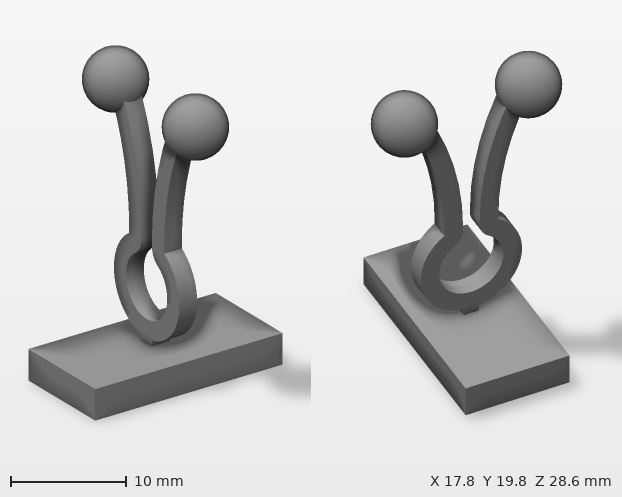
import cadquery as cq
import math

base_width = 10.0
base_depth = 19.8
pad_height = 1.0
block_height = 2.0
base_top = pad_height + block_height

strip_width = 1.8
strip_depth = 1.9
loop_inner_radius = 3.1
loop_outer_radius = loop_inner_radius + strip_width
loop_center_z = 8.45
foot_width = 1.45

neck_half_gap = 0.8
arm_start_z = 12.95
arm_inner_radius = 28.9
arm_outer_radius = arm_inner_radius - strip_width
arm_center_x = neck_half_gap + arm_inner_radius

total_height = 28.6
ball_radius = 2.92
ball_x = 5.98
ball_z = total_height - ball_radius

arm_tip_angle = math.asin((ball_z - arm_start_z) / arm_inner_radius)

corner_x = neck_half_gap + strip_width
corner_z = loop_center_z + math.sqrt(loop_outer_radius**2 - corner_x**2)
bend_angle = math.atan2(corner_z - loop_center_z, corner_x)


def polar(center, radius, angle):
    """Point at an angle (from +X toward +Z) on a circle in the XZ plane."""
    return (center[0] + radius * math.cos(angle), center[1] + radius * math.sin(angle))


def mirrored(point):
    """The same point on the other side of the YZ plane."""
    return (-point[0], point[1])


def make_clip():
    """Bent strip: open loop, neck bends and two arms, drawn as one closed outline."""
    loop_center = (0, loop_center_z)
    arm_center = (arm_center_x, arm_start_z)
    tip_angle = math.pi - arm_tip_angle
    mid_arm_angle = math.pi - arm_tip_angle / 2

    corner = (corner_x, corner_z)
    outer_start = (corner_x, arm_start_z)
    outer_mid = polar(arm_center, arm_outer_radius, mid_arm_angle)
    outer_tip = polar(arm_center, arm_outer_radius, tip_angle)
    inner_tip = polar(arm_center, arm_inner_radius, tip_angle)
    inner_mid = polar(arm_center, arm_inner_radius, mid_arm_angle)
    inner_start = (neck_half_gap, arm_start_z)
    bend_start = (neck_half_gap, corner_z)
    bend_mid = polar(corner, strip_width, math.pi + bend_angle / 2)
    bend_end = polar(loop_center, loop_inner_radius, bend_angle)

    profile = (
        cq.Workplane("XZ")
        .moveTo(*corner)
        .lineTo(*outer_start)
        .threePointArc(outer_mid, outer_tip)
        .lineTo(*inner_tip)
        .threePointArc(inner_mid, inner_start)
        .lineTo(*bend_start)
        .threePointArc(bend_mid, bend_end)
        .threePointArc((0, loop_center_z - loop_inner_radius), mirrored(bend_end))
        .threePointArc(mirrored(bend_mid), mirrored(bend_start))
        .lineTo(*mirrored(inner_start))
        .threePointArc(mirrored(inner_mid), mirrored(inner_tip))
        .lineTo(*mirrored(outer_tip))
        .threePointArc(mirrored(outer_mid), mirrored(outer_start))
        .lineTo(*mirrored(corner))
        .threePointArc((0, loop_center_z - loop_outer_radius), corner)
        .close()
    )
    return profile.extrude(strip_depth / 2, both=True)


def make_slab(bottom_z, height):
    """Rectangular slab with the base outline."""
    slab = cq.Workplane("XY").box(base_width, base_depth, height, centered=(True, True, False))
    return slab.translate((0, 0, bottom_z))


def make_foot():
    """Short post from the block into the bottom of the loop."""
    foot_height = loop_center_z - loop_outer_radius + strip_width / 2 - base_top
    foot = cq.Workplane("XY").box(foot_width, strip_depth, foot_height, centered=(True, True, False))
    return foot.translate((0, 0, base_top))


def make_holder():
    """Block, foot, clip and balls in one piece."""
    holder = make_slab(pad_height, block_height).union(make_foot()).union(make_clip())
    for side in (-1, 1):
        ball = cq.Workplane("XY").sphere(ball_radius).translate((side * ball_x, 0, ball_z))
        holder = holder.union(ball)
    return holder


pad = make_slab(0, pad_height)
holder = make_holder()

result = cq.Compound.makeCompound([pad.val(), *holder.vals()])